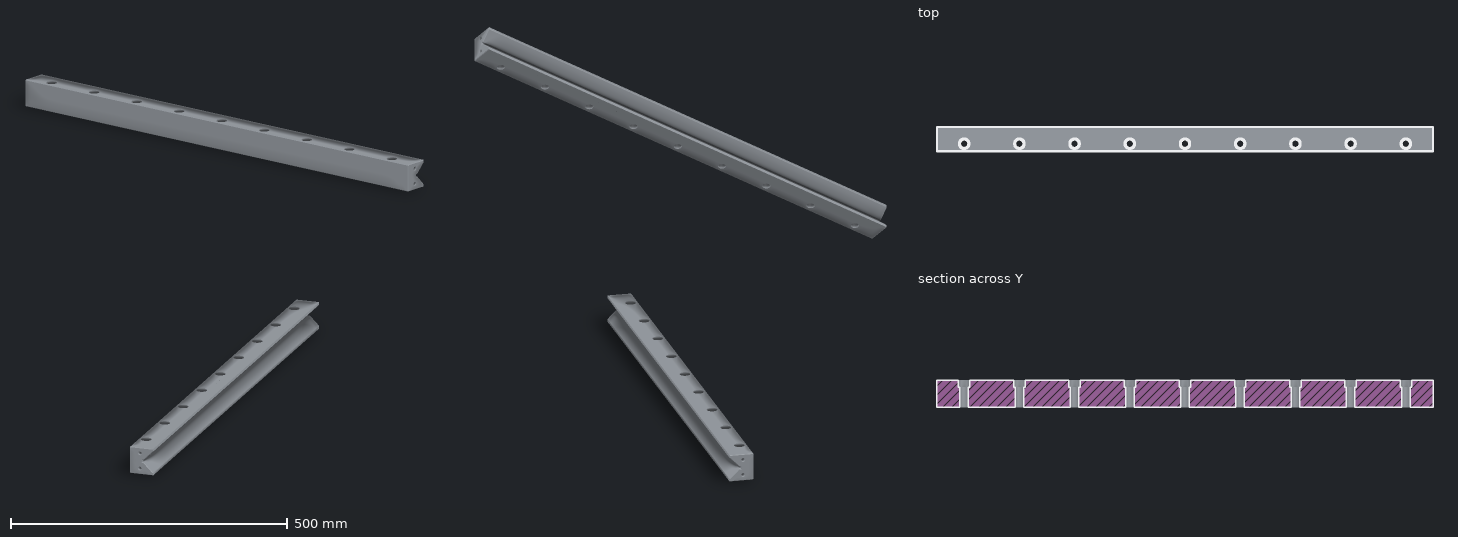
import cadquery as cq

length = 900.0
width = 45.0
height = 50.0
back_edge_chamfer = 1.35
end_chamfer = 1.1

lip_height = 4.95
vee_depth = height / 2 - lip_height
relief_width = 4.5
relief_depth = 1.0

hole_count = 9
hole_pitch = length / hole_count
hole_y = -8.0
hole_diameter = 14.0
counterbore_diameter = 20.0
counterbore_depth = 13.0

end_hole_diameter = 5.2
end_hole_depth = 10.0
end_hole_y = -3.0
end_hole_spacing = 29.0
countersink_diameter = 7.0
countersink_angle = 90


def make_bar():
    """Rectangular bar with its two long back edges chamfered."""
    bar = cq.Workplane("XY").box(length, width, height)
    return bar.edges("<Y and |X").chamfer(back_edge_chamfer)


def make_vee_groove():
    """Full-length vee with a small rectangular relief slot at its root."""
    front_y = width / 2
    relief_half = relief_width / 2
    slot_top_y = front_y - vee_depth + relief_half
    slot_bottom_y = front_y - vee_depth - relief_depth
    return (
        cq.Workplane("YZ")
        .workplane(offset=-length / 2)
        .moveTo(front_y, vee_depth)
        .lineTo(slot_top_y, relief_half)
        .lineTo(slot_bottom_y, relief_half)
        .lineTo(slot_bottom_y, -relief_half)
        .lineTo(slot_top_y, -relief_half)
        .lineTo(front_y, -vee_depth)
        .close()
        .extrude(length)
    )


def drill_mounting_holes(body):
    """Row of evenly pitched through holes, half a pitch in from each end."""
    return (
        body.faces(">Z")
        .workplane(origin=(0, hole_y, 0))
        .rarray(hole_pitch, 9, hole_count, 1)
        .cboreHole(hole_diameter, counterbore_diameter, counterbore_depth)
    )


def drill_end_holes(body, end_face):
    """Pair of blind holes, one above the other, in one end face."""
    return (
        body.faces(end_face)
        .workplane(origin=(0, end_hole_y, 0))
        .rarray(9, end_hole_spacing, 1, 2)
        .cskHole(end_hole_diameter, countersink_diameter, countersink_angle, end_hole_depth)
    )


result = make_bar().cut(make_vee_groove())
result = result.faces("<X or >X").edges().chamfer(end_chamfer)
result = drill_mounting_holes(result)
for end_face in ("<X", ">X"):
    result = drill_end_holes(result, end_face)